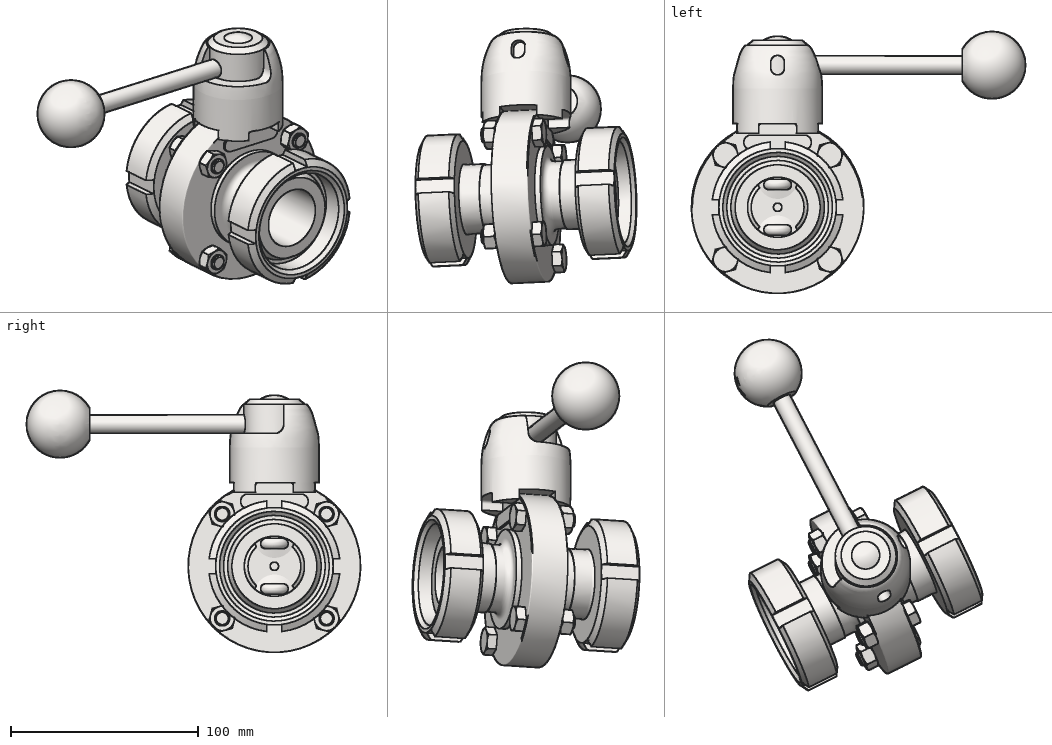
import cadquery as cq
import math


bore_radius = 16.0
neck_radius = 36.0 / 2
pipe_radius = 37.0 / 2
weld_end_radius = 18.9
weld_end_inner_x = 31.4
pipe_joint_x = 21.7
neck_fillet = 3.7
hub_radius = 53.0 / 2
hub_face_x = 13.0

flange_radius = 46.0
flange_half_width = 10.0
flange_edge_fillet = 0.5

nut_outer_x = 54.0
nut_inner_x = 32.8
nut_radius = 70.0 / 2
nut_chamfer_length = 2.3
nut_chamfer_depth = 3.7
nut_slot_width = 8.0
nut_slot_bottom = nut_radius - nut_chamfer_depth
nut_mouth_radius = 58.5 / 2
nut_thread_radius = 54.2 / 2
nut_mouth_depth = nut_mouth_radius - nut_thread_radius
liner_face_x = 45.8
liner_collar_radius = 25.0
liner_face_radius = 22.6
liner_collar_x = 41.3

bolt_offset = 27.8
hex_across_flats = 13.0
hex_corner_diameter = hex_across_flats / math.cos(math.pi / 6)
hex_bevel_angle = math.radians(30)
bolt_head_height = 5.3
bolt_nut_height = 6.6
thread_diameter = 8.0
bolt_turn = 15
thread_end_x = 18.3
thread_end_chamfer = 0.7

pad_length = 36.0
pad_height = 7.8
pad_top_z = 38.5
pad_thickness = 1.2

skirt_bottom_z = 39.4
skirt_window_width = 20.3
skirt_window_bottom_z = 38.5
window_corner_radius = 1.6
head_radius = 23.9
head_bottom_z = 44.5
head_arc_start_z = 63.2
head_shoulder_radius = 19.2
head_shoulder_z = 83.5
head_rim_radius = 17.0
head_top_z = 86.4
knob_radius = 16.2
knob_top_radius = 13.0
knob_top_z = 89.0
dome_radius = 7.5
dome_top_z = 91.2
index_hole_width = 7.3
index_hole_height = 10.3

lever_z = 75.7
lever_diameter = 10.0
ball_radius = 36.0 / 2
ball_y = -114.2
ball_flat_y = -98.3

disc_seat_depth = 0.2
disc_radius = bore_radius + disc_seat_depth
disc_face_radius = 14.0
disc_half_width = 2.7
disc_rim_half_width = 1.0
disc_boss_radius = 8.0
disc_boss_inner_z = 9.3
disc_boss_rounding = 2.7
disc_boss_height = 5.7
disc_web_z = 15.3
disc_web_radius = 10.9
disc_web_end_x = 3.5
disc_web_end_radius = 6.8
disc_dimple_diameter = 4.5
disc_dimple_depth = 0.5


def turned_on_x(profile):
    """Revolve a closed profile of (axial, radial) points about the X axis."""
    return profile.close().revolve(360, (0, 0, 0), (1, 0, 0))


def x_cylinder(radius, x_start, x_end):
    return cq.Workplane("YZ", origin=(x_start, 0, 0)).circle(radius).extrude(x_end - x_start)


def both_ends(shape):
    return shape.union(shape.mirror("YZ"))


def valve_body():
    fillet_end_radius = neck_radius + neck_fillet
    fillet_start_x = hub_face_x + neck_fillet
    sag = neck_fillet * math.sqrt(0.5)
    half_body = turned_on_x(
        cq.Workplane("XY")
        .lineTo(0, hub_radius)
        .lineTo(hub_face_x, hub_radius)
        .lineTo(hub_face_x, fillet_end_radius)
        .threePointArc(
            (fillet_start_x - sag, fillet_end_radius - sag),
            (fillet_start_x, neck_radius),
        )
        .lineTo(pipe_joint_x, neck_radius)
        .lineTo(pipe_joint_x, pipe_radius)
        .lineTo(weld_end_inner_x, pipe_radius)
        .lineTo(nut_inner_x, weld_end_radius)
        .lineTo(liner_collar_x, weld_end_radius)
        .lineTo(liner_collar_x, 0)
    )
    flanges = x_cylinder(flange_radius, -flange_half_width, flange_half_width)
    flanges = flanges.edges().fillet(flange_edge_fillet)
    return both_ends(half_body).union(flanges)


def union_nut():
    """Union nut on the +X end, with the conical liner seated at its bottom."""
    nut = turned_on_x(
        cq.Workplane("XY")
        .moveTo(nut_inner_x, 0)
        .lineTo(nut_inner_x, nut_slot_bottom)
        .lineTo(nut_inner_x + nut_chamfer_length, nut_radius)
        .lineTo(nut_outer_x - nut_chamfer_length, nut_radius)
        .lineTo(nut_outer_x, nut_slot_bottom)
        .lineTo(nut_outer_x, nut_mouth_radius)
        .lineTo(nut_outer_x - nut_mouth_depth, nut_thread_radius)
        .lineTo(liner_collar_x, nut_thread_radius)
        .lineTo(liner_collar_x, liner_collar_radius)
        .lineTo(liner_face_x, liner_face_radius)
        .lineTo(liner_face_x, 0)
    )
    slot = cq.Workplane("XY").box(
        2 * nut_outer_x, nut_slot_width, nut_radius, centered=(True, True, False)
    ).translate((0, 0, nut_slot_bottom))
    for quarter in range(4):
        nut = nut.cut(slot.rotate((0, 0, 0), (1, 0, 0), 90 * quarter))
    return nut


def bevelled_hex(height, bevel_both_ends):
    """Hexagonal prism on the YZ plane whose corners are bevelled by a cone."""
    bevel = (hex_corner_diameter - hex_across_flats) / 2 * math.tan(hex_bevel_angle)
    corner_radius = hex_corner_diameter / 2
    flat_radius = hex_across_flats / 2
    prism = cq.Workplane("YZ").polygon(6, hex_corner_diameter).extrude(height)
    envelope = cq.Workplane("XY")
    if bevel_both_ends:
        envelope = envelope.lineTo(0, flat_radius).lineTo(bevel, corner_radius)
    else:
        envelope = envelope.lineTo(0, corner_radius)
    envelope = (
        envelope.lineTo(height - bevel, corner_radius)
        .lineTo(height, flat_radius)
        .lineTo(height, 0)
    )
    return prism.intersect(turned_on_x(envelope))


def clamping_bolts():
    head = bevelled_hex(bolt_head_height, False).mirror("YZ").translate((-flange_half_width, 0, 0))
    nut = bevelled_hex(bolt_nut_height, True).translate((flange_half_width, 0, 0))
    thread = x_cylinder(thread_diameter / 2, 0, thread_end_x)
    thread = thread.faces(">X").chamfer(thread_end_chamfer)
    bolt = head.union(nut).union(thread).rotate((0, 0, 0), (1, 0, 0), bolt_turn)
    bolt = bolt.translate((0, bolt_offset, bolt_offset))
    bolts = bolt
    for quarter in range(1, 4):
        bolts = bolts.union(bolt.rotate((0, 0, 0), (1, 0, 0), 90 * quarter))
    return bolts


def bearing_pads():
    reach = flange_half_width + pad_thickness
    pads = cq.Workplane("YZ", origin=(-reach, 0, 0)).center(0, pad_top_z - pad_height / 2)
    return pads.slot2D(pad_length, pad_height).extrude(2 * reach)


def skirt():
    """Ring under the head, cut away for the flanges and open toward +X and -X."""
    height = head_bottom_z - skirt_bottom_z
    ring = cq.Workplane("XY", origin=(0, 0, skirt_bottom_z)).circle(head_radius).extrude(height)
    flange_gap = cq.Workplane("XY").box(
        2 * flange_half_width, 2 * head_radius, height, centered=(True, True, False)
    ).translate((0, 0, skirt_bottom_z))
    window_height = head_bottom_z - skirt_window_bottom_z
    window = cq.Workplane("XY").box(
        2 * head_radius, skirt_window_width, window_height, centered=(True, True, False)
    ).edges("|X").fillet(window_corner_radius).translate((0, 0, skirt_window_bottom_z))
    return ring.cut(flange_gap).cut(window)


def head_shell():
    rise = head_shoulder_z - head_arc_start_z
    inset = head_radius - head_shoulder_radius
    arc_radius = (rise**2 + inset**2) / (2 * inset)
    half_angle = math.asin(rise / arc_radius) / 2
    arc_middle = (
        head_radius - arc_radius * (1 - math.cos(half_angle)),
        head_arc_start_z + arc_radius * math.sin(half_angle),
    )
    return (
        cq.Workplane("XZ")
        .moveTo(0, head_bottom_z)
        .lineTo(head_radius, head_bottom_z)
        .lineTo(head_radius, head_arc_start_z)
        .threePointArc(arc_middle, (head_shoulder_radius, head_shoulder_z))
        .tangentArcPoint((head_rim_radius, head_top_z), relative=False)
        .lineTo(0, head_top_z)
        .close()
        .revolve(360, (0, 0, 0), (0, 1, 0))
    )


def knob():
    dome_rise = dome_top_z - knob_top_z
    dome_sphere_radius = (dome_radius**2 + dome_rise**2) / (2 * dome_rise)
    half_angle = math.asin(dome_radius / dome_sphere_radius) / 2
    dome_middle = (
        dome_sphere_radius * math.sin(half_angle),
        dome_top_z - dome_sphere_radius * (1 - math.cos(half_angle)),
    )
    return (
        cq.Workplane("XZ")
        .moveTo(0, head_bottom_z)
        .lineTo(knob_radius, head_bottom_z)
        .lineTo(knob_radius, head_top_z)
        .lineTo(knob_top_radius, knob_top_z)
        .lineTo(dome_radius, knob_top_z)
        .threePointArc(dome_middle, (0, dome_top_z))
        .close()
        .revolve(360, (0, 0, 0), (0, 1, 0))
    )


def lever_sweep():
    """Space the lever passes through on its quarter turn from -Y to +X, open at the top."""
    reach = 2 * head_radius
    lever_radius = lever_diameter / 2
    floor_z = lever_z - lever_radius
    quarter = cq.Workplane("XY").box(
        reach, reach, reach, centered=False
    ).translate((0, -reach, floor_z))
    end = x_cylinder(lever_radius, 0, reach).translate((0, 0, lever_z))
    end = end.union(
        cq.Workplane("XY")
        .box(reach, lever_diameter, reach, centered=(False, True, False))
        .translate((0, 0, lever_z))
    )
    return quarter.union(end).union(end.rotate((0, 0, 0), (0, 0, 1), -90))


def index_holes():
    """Upright slots into the head on -X and +Y, stopping at the knob."""
    hole = (
        cq.Workplane("YZ", origin=(0, 0, lever_z))
        .slot2D(index_hole_height, index_hole_width, 90)
        .extrude(-2 * head_radius)
    )
    return hole.union(hole.rotate((0, 0, 0), (0, 0, 1), -90))


def operating_head():
    shell = head_shell().cut(lever_sweep()).cut(index_holes())
    return shell.union(knob()).union(skirt())


def lever():
    rod = (
        cq.Workplane("XZ", origin=(0, 0, lever_z))
        .circle(lever_diameter / 2)
        .extrude(-ball_y)
    )
    ball = cq.Workplane("XY").sphere(ball_radius).translate((0, ball_y, lever_z))
    trim = cq.Workplane("XY").box(
        2 * ball_radius, ball_radius, 2 * ball_radius, centered=(True, False, True)
    ).translate((0, ball_flat_y, lever_z))
    return rod.union(ball.cut(trim))


def closing_disc():
    """Disc across the bore, with a rounded boss and a conical web at each end of its stem."""
    half = turned_on_x(
        cq.Workplane("XY")
        .lineTo(0, disc_radius)
        .lineTo(disc_rim_half_width, disc_radius)
        .lineTo(disc_half_width, disc_face_radius)
        .lineTo(disc_half_width, 0)
    )
    dimple = x_cylinder(
        disc_dimple_diameter / 2, disc_half_width - disc_dimple_depth, disc_half_width
    )
    disc = both_ends(half.cut(dimple))
    boss = (
        cq.Workplane("XY", origin=(0, 0, disc_boss_inner_z))
        .circle(disc_boss_radius)
        .extrude(disc_boss_height)
        .edges()
        .fillet(disc_boss_rounding)
    )
    web = turned_on_x(
        cq.Workplane("XY")
        .lineTo(0, disc_web_radius)
        .lineTo(disc_half_width, disc_web_radius)
        .lineTo(disc_web_end_x, disc_web_end_radius)
        .lineTo(disc_web_end_x, 0)
    ).translate((0, 0, disc_web_z))
    web = both_ends(web).intersect(x_cylinder(disc_radius, -disc_web_end_x, disc_web_end_x))
    boss = boss.union(web)
    return disc.union(boss).union(boss.mirror("XY"))


result = (
    valve_body()
    .union(both_ends(union_nut()))
    .cut(x_cylinder(bore_radius, -nut_outer_x, nut_outer_x))
    .union(closing_disc())
    .union(clamping_bolts())
    .union(bearing_pads())
    .union(operating_head())
    .union(lever())
)